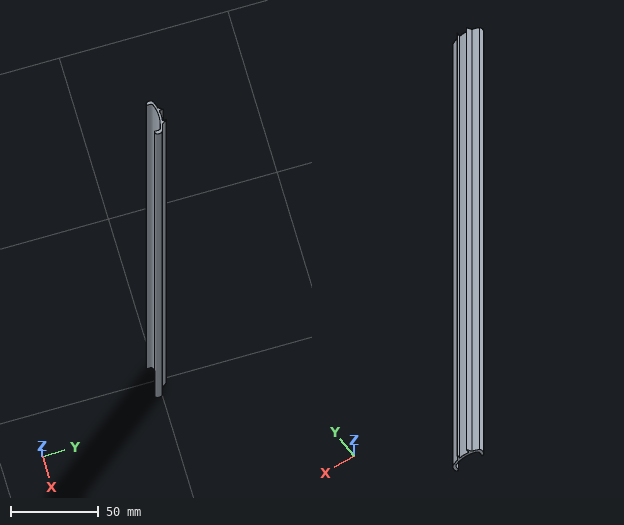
import cadquery as cq
import math

length = 505.0
width = 20.34
depth = 8.5
half_width = width / 2
front_y = -depth / 2
back_y = depth / 2

wall = 1.4
web_inner_radius = 20.0
web_outer_radius = web_inner_radius + wall
web_inner_crown_y = 0.75
web_center = (0, web_inner_crown_y - web_inner_radius)
web_inner_half_angle = 20.3
web_outer_half_angle = 26.0

bulge_y = -1.9
tip_radius = 1.45
tip_center = (8.62, front_y + tip_radius)
tip_start_angle = 5.0
tip_end_angle = -114.0
leg_inner_top = (8.1, -2.1)
leg_inner_bend = (7.75, -1.05)

prong_tip_inner_x = 3.1
prong_tip_outer_x = 3.25
prong_foot_outer_x = 5.1
prong_flank_hollow = 0.06
prong_root_depth = wall / 2


def polar(center, radius, degrees):
    """Point on a circle, the angle measured from +X toward +Y."""
    angle = math.radians(degrees)
    return (center[0] + radius * math.cos(angle), center[1] + radius * math.sin(angle))


def mirrored(point):
    return (-point[0], point[1])


def web_outer_y(x):
    """Y of the back surface of the web at a given X."""
    return web_center[1] + math.sqrt(web_outer_radius**2 - x**2)


def make_channel():
    """Web and both legs as one extruded section."""
    web_outer_end = polar(web_center, web_outer_radius, 90 - web_outer_half_angle)
    web_inner_end = polar(web_center, web_inner_radius, 90 - web_inner_half_angle)
    web_outer_crown = polar(web_center, web_outer_radius, 90)
    web_inner_crown = polar(web_center, web_inner_radius, 90)
    bulge = (half_width, bulge_y)
    tip_start = polar(tip_center, tip_radius, tip_start_angle)
    tip_bottom = polar(tip_center, tip_radius, -90)
    tip_end = polar(tip_center, tip_radius, tip_end_angle)
    return (
        cq.Workplane("XY")
        .moveTo(*mirrored(web_outer_end))
        .threePointArc(web_outer_crown, web_outer_end)
        .threePointArc(bulge, tip_start)
        .threePointArc(tip_bottom, tip_end)
        .lineTo(*leg_inner_top)
        .threePointArc(leg_inner_bend, web_inner_end)
        .threePointArc(web_inner_crown, mirrored(web_inner_end))
        .threePointArc(mirrored(leg_inner_bend), mirrored(leg_inner_top))
        .lineTo(*mirrored(tip_end))
        .threePointArc(mirrored(tip_bottom), mirrored(tip_start))
        .threePointArc(mirrored(bulge), mirrored(web_outer_end))
        .close()
        .extrude(length)
    )


def make_prong():
    """Prong on the +X side, its root sunk into the web."""
    foot = (prong_foot_outer_x, web_outer_y(prong_foot_outer_x))
    tip = (prong_tip_outer_x, back_y)
    run = foot[0] - tip[0]
    drop = tip[1] - foot[1]
    flank = math.hypot(run, drop)
    flank_middle = (
        (tip[0] + foot[0]) / 2 - prong_flank_hollow * drop / flank,
        (tip[1] + foot[1]) / 2 - prong_flank_hollow * run / flank,
    )
    root_y = foot[1] - prong_root_depth
    return (
        cq.Workplane("XY")
        .moveTo(prong_tip_inner_x, root_y)
        .lineTo(prong_tip_inner_x, back_y)
        .lineTo(*tip)
        .threePointArc(flank_middle, foot)
        .lineTo(foot[0], root_y)
        .close()
        .extrude(length)
    )


prong = make_prong()
result = make_channel().union(prong).union(prong.mirror("YZ"))